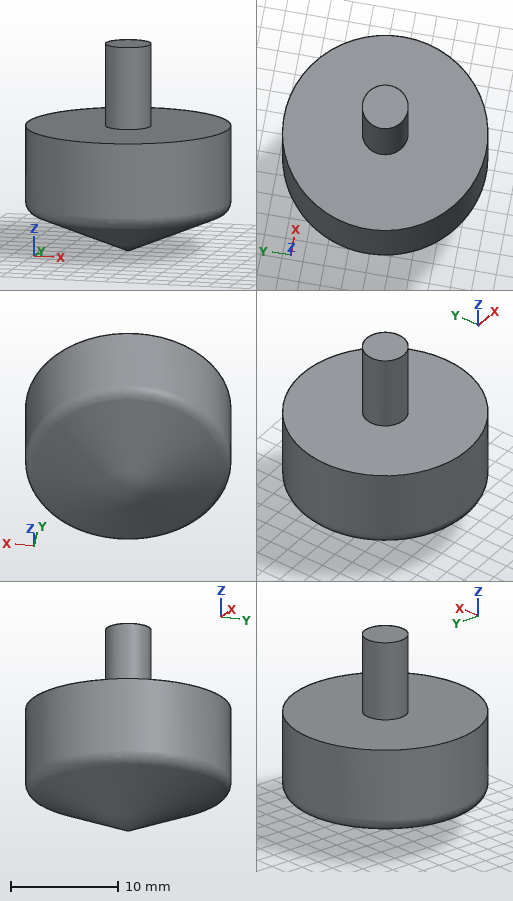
import cadquery as cq
import math

total_height = 19.7
body_diameter = 19.2
pin_diameter = 4.3
pin_length = 7.78
cone_slope = 22.5
rim_radius = 1.2

body_radius = body_diameter / 2
pin_radius = pin_diameter / 2
shoulder_height = total_height - pin_length
cone_height = body_radius * math.tan(math.radians(cone_slope))

body = (
    cq.Workplane("XZ")
    .lineTo(body_radius, cone_height)
    .lineTo(body_radius, shoulder_height)
    .lineTo(0, shoulder_height)
    .close()
    .revolve(360, (0, 0, 0), (0, 1, 0))
)

rim_box = cq.selectors.BoxSelector(
    (-body_diameter, -body_diameter, cone_height / 2),
    (body_diameter, body_diameter, (cone_height + shoulder_height) / 2),
    boundingbox=True,
)
body = body.edges("%CIRCLE").edges(rim_box).fillet(rim_radius)

pin = cq.Workplane("XY").workplane(offset=shoulder_height).circle(pin_radius).extrude(pin_length)

result = body.union(pin)